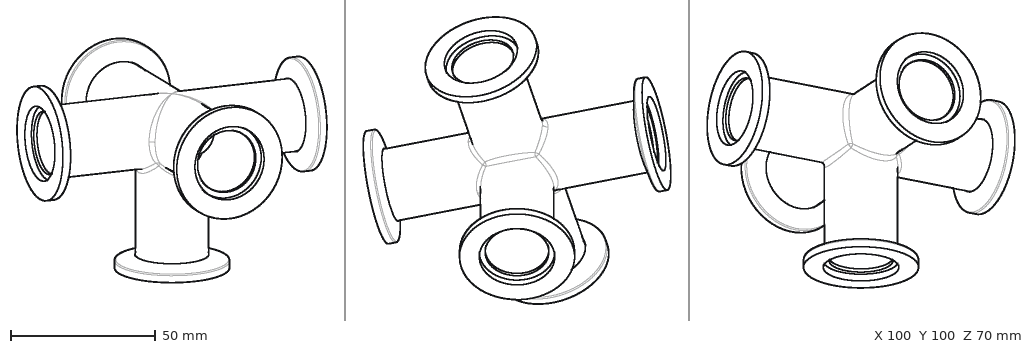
import cadquery as cq


span = 100.0
tube_outer = 25.4
tube_bore = 22.1
flange_outer = 40.0
rim_thickness = 3.0
rim_fillet = 0.5
flange_length = 4.9
recess_diameter = 26.2
recess_depth = 2.5
lip_thickness = 1.2
socket_diameter = 25.7
joint_fillet = 1.6
select_margin = 0.01

face_distance = span / 2
socket_depth = recess_depth + lip_thickness
tube_length = face_distance - socket_depth

port_axes = [(1, 0, 0), (-1, 0, 0), (0, 1, 0), (0, -1, 0), (0, 0, -1)]


def port_plane(axis, distance):
    """Plane across a port, its normal pointing out of the port."""
    side = (0, 1, 0) if axis[0] else (1, 0, 0)
    return cq.Plane(origin=tuple(distance * a for a in axis), xDir=side, normal=axis)


def rods(diameter):
    """Union of solid rods from the centre to the tube ends."""
    joined = cq.Workplane("XY")
    for axis in port_axes:
        rod = cq.Workplane(port_plane(axis, 0)).circle(diameter / 2).extrude(tube_length)
        joined = joined.union(rod)
    return joined


def make_cross():
    """Hollow five-way tube, filleted outside along the mitre curves between the tubes."""
    outside = rods(tube_outer)
    mitre_curves = outside.edges("%ELLIPSE").vals()
    rounded = outside.val().fillet(joint_fillet, mitre_curves)
    return cq.Workplane(rounded).cut(rods(tube_bore))


def make_flange(axis):
    """Clamp flange whose face lies across the port at the face distance."""
    profile = [
        (tube_bore / 2, -recess_depth),
        (recess_diameter / 2, -recess_depth),
        (recess_diameter / 2, 0),
        (flange_outer / 2, 0),
        (flange_outer / 2, -rim_thickness),
        (socket_diameter / 2, -flange_length),
        (socket_diameter / 2, -socket_depth),
        (tube_bore / 2, -socket_depth),
    ]
    blank = cq.Workplane("XZ").polyline(profile).close().revolve(360, (0, 0), (0, 1))
    rim_corner = cq.selectors.BoxSelector(
        (-flange_outer, -flange_outer, -rim_thickness - select_margin),
        (flange_outer, flange_outer, -rim_thickness + select_margin),
        boundingbox=True,
    )
    flange = blank.edges(rim_corner).fillet(rim_fillet)
    return flange.val().moved(cq.Location(port_plane(axis, face_distance)))


cross = make_cross()
flanges = [make_flange(axis) for axis in port_axes]

result = cq.Compound.makeCompound([cross.val(), *flanges])